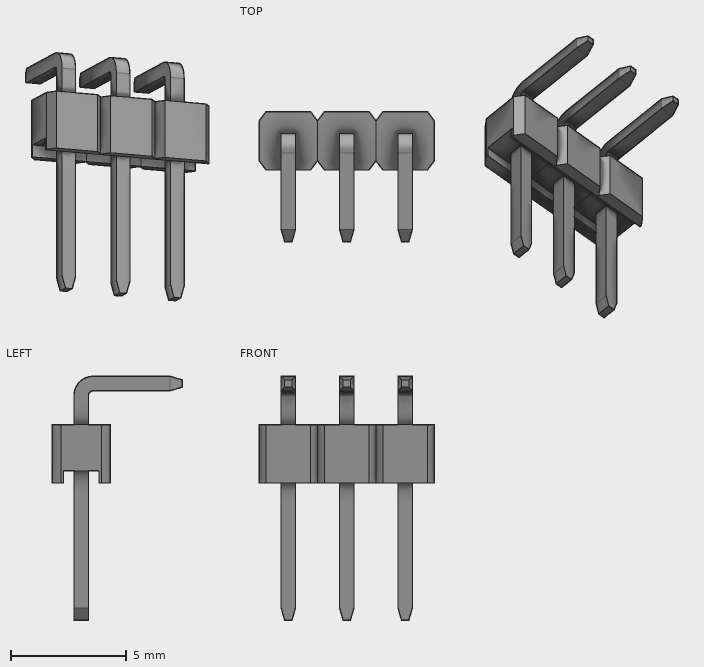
import cadquery as cq


pin_count = 3
pitch = 2.54

housing_width = pitch
housing_depth = 2.54
housing_height = 2.54
corner_cut_x = 0.30
corner_cut_y = 0.40
channel_width = 1.54
channel_height = 0.53

pin_size = 0.64
pin_height = 10.62
pin_rise = 2.11
pin_top = housing_height + pin_rise
pin_bottom = pin_top - pin_height
overall_depth = 5.67
arm_end_y = housing_depth / 2 - overall_depth
bend_inner_radius = 0.20
bend_outer_radius = bend_inner_radius + pin_size
tip_length = 0.55
tip_size = 0.32


def make_housing():
    """Block with cut corners, a channel along X underneath and a square pin hole."""
    half_x = housing_width / 2
    half_y = housing_depth / 2
    flat_x = half_x - corner_cut_x
    flat_y = half_y - corner_cut_y
    block = (
        cq.Workplane("XY")
        .polyline([
            (-flat_x, -half_y), (flat_x, -half_y),
            (half_x, -flat_y), (half_x, flat_y),
            (flat_x, half_y), (-flat_x, half_y),
            (-half_x, flat_y), (-half_x, -flat_y),
        ])
        .close()
        .extrude(housing_height)
    )
    channel = cq.Workplane("XY").box(
        housing_width, channel_width, channel_height, centered=(True, True, False)
    )
    pin_hole = cq.Workplane("XY").rect(pin_size, pin_size).extrude(housing_height)
    return block.cut(channel).cut(pin_hole)


def make_pin():
    """Square wire bent toward -Y, with a chisel tip below and a pyramid tip on the arm."""
    half_pin = pin_size / 2
    leg_start_z = pin_bottom + tip_length
    arm_start_y = arm_end_y + tip_length
    arm_center_z = pin_top - half_pin
    arm_bottom_z = pin_top - pin_size

    wire = (
        cq.Workplane("YZ")
        .polyline([
            (half_pin, leg_start_z), (half_pin, pin_top),
            (arm_start_y, pin_top), (arm_start_y, arm_bottom_z),
            (-half_pin, arm_bottom_z), (-half_pin, leg_start_z),
        ])
        .close()
        .extrude(half_pin, both=True)
    )
    outer_corner = cq.selectors.NearestToPointSelector((0, half_pin, pin_top))
    inner_corner = cq.selectors.NearestToPointSelector((0, -half_pin, arm_bottom_z))
    wire = wire.edges(outer_corner).fillet(bend_outer_radius)
    wire = wire.edges(inner_corner).fillet(bend_inner_radius)

    leg_tip = (
        cq.Workplane("XY", origin=(0, 0, leg_start_z))
        .rect(pin_size, pin_size)
        .workplane(offset=-tip_length)
        .rect(tip_size, pin_size)
        .loft(ruled=True)
    )
    arm_tip = (
        cq.Workplane("XZ", origin=(0, arm_start_y, arm_center_z))
        .rect(pin_size, pin_size)
        .workplane(offset=tip_length)
        .rect(tip_size, tip_size)
        .loft(ruled=True)
    )
    return wire.union(leg_tip).union(arm_tip)


bodies = []
for index in range(pin_count):
    x = (index - (pin_count - 1) / 2) * pitch
    housing = make_housing().translate((x, 0, 0))
    pin = make_pin().translate((x, 0, 0))
    bodies += [housing.val(), pin.val()]

result = cq.Compound.makeCompound(bodies)